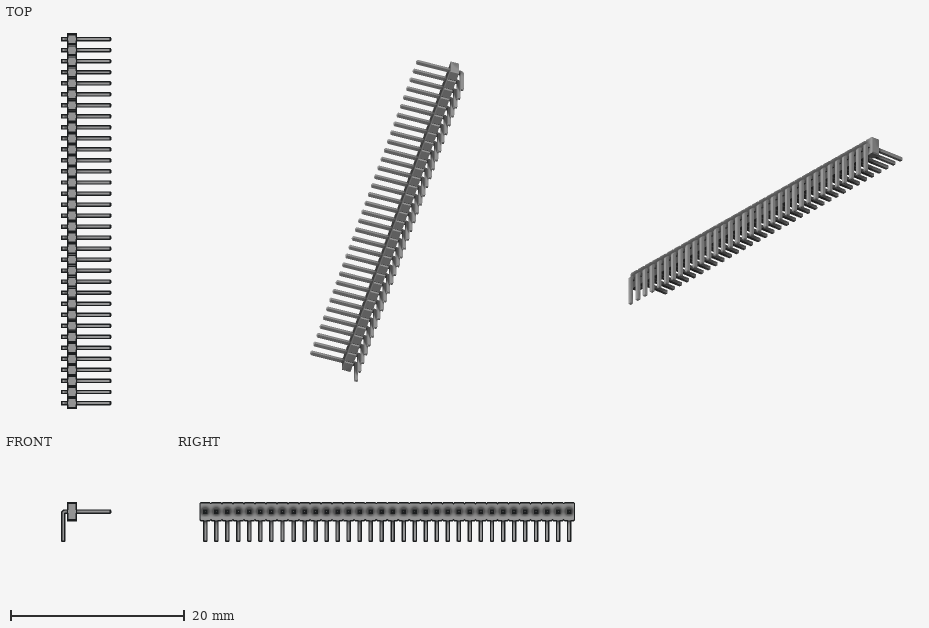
import cadquery as cq

PIN_COUNT = 34
PITCH = 1.27

HOUSING_DEPTH = 1.0
HOUSING_BACK_X = 0.7
HOUSING_HEIGHT = 2.1
HOUSING_BEVEL = PITCH / 10

PIN_WIDTH = 0.4
TOTAL_DEPTH = 5.7
TOTAL_HEIGHT = 4.5
BEND_RADIUS = PIN_WIDTH
TIP_BEVEL = 0.1

SOLDER_TIP_Z = HOUSING_HEIGHT / 2 - TOTAL_HEIGHT
ROW_LENGTH = PIN_COUNT * PITCH


def make_housing_block():
    """One block centred on its pin, with its four edges along X bevelled."""
    block = cq.Workplane("XY").box(HOUSING_DEPTH, PITCH, HOUSING_HEIGHT, centered=(False, True, True))
    return block.edges("|X").chamfer(HOUSING_BEVEL).translate((HOUSING_BACK_X, 0, 0))


def make_pin():
    """L-shaped pin with a rounded outer bend and both tips bevelled."""
    half = PIN_WIDTH / 2
    pin = (
        cq.Workplane("XZ")
        .moveTo(0, SOLDER_TIP_Z)
        .lineTo(0, half - BEND_RADIUS)
        .radiusArc((BEND_RADIUS, half), BEND_RADIUS)
        .lineTo(TOTAL_DEPTH, half)
        .lineTo(TOTAL_DEPTH, -half)
        .lineTo(PIN_WIDTH, -half)
        .lineTo(PIN_WIDTH, SOLDER_TIP_Z)
        .close()
        .extrude(half, both=True)
    )
    return pin.faces("<Z or >X").chamfer(TIP_BEVEL)


def make_header():
    """Row of identical one-pin units, centred on Y = 0."""
    unit = make_housing_block().union(make_pin())
    first_y = (PITCH - ROW_LENGTH) / 2
    unit_places = [(0, first_y + index * PITCH) for index in range(PIN_COUNT)]
    row = cq.Workplane("XY").pushPoints(unit_places)
    return row.eachpoint(unit.val(), combine=True)


result = make_header()